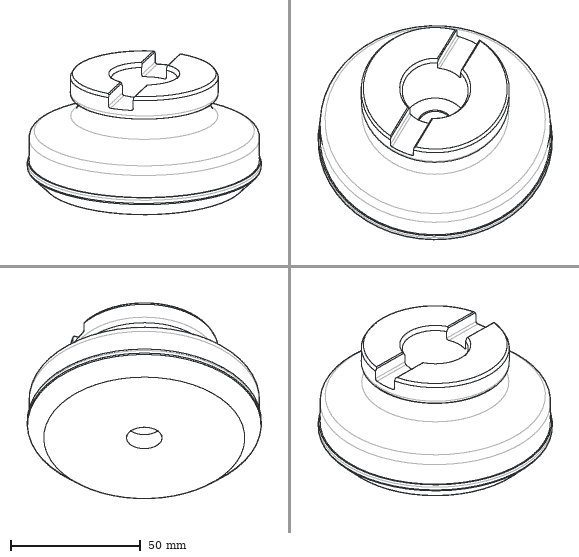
import cadquery as cq

total_height = 44.4
pad_top = 8.95
rim_top = 17.9
cone_base = 21.2
groove_bottom = 27.2
groove_middle = 31.3
groove_top = 35.1
collar_bottom = 36.8

pad_radius = 45.2
lip_chamfer_width = 0.3
lip_chamfer_height = 0.9
lip_bottom = 6.8
lip_break_width = 0.2
recess_floor = lip_bottom
taper_top = 6.2

rim_radius = 88.9 / 2
cone_base_radius = 42.5
groove_bottom_radius = 28.4
groove_top_radius = 27.3
groove_radius = 25.8
collar_radius = 57.2 / 2
round_fullness = 0.59
collar_chamfer_width = 0.8
collar_chamfer_height = 1.4

hole_radius = 13.7 / 2
hole_chamfer = 0.4
bore_radius = 25.4 / 2
bore_depth = 27.1
bore_chamfer_width = 1.0
bore_chamfer_height = 1.7

slot_width = 10.0
slot_depth = 5.5
slot_floor_fillet = 0.8
slot_edge_chamfer = 0.45


def corner_middle(corner, start, end):
    """Point on a rounded corner, part-way from the square corner to its chord."""
    chord_middle = [(a + b) / 2 for a, b in zip(start, end)]
    return tuple(c + (m - c) * round_fullness for c, m in zip(corner, chord_middle))


def make_pad():
    taper_radius = pad_radius - lip_break_width
    return (
        cq.Workplane("XZ")
        .moveTo(hole_radius, 0)
        .lineTo(taper_radius - taper_top, 0)
        .lineTo(taper_radius, taper_top)
        .lineTo(pad_radius, lip_bottom)
        .lineTo(pad_radius, pad_top - lip_chamfer_height)
        .lineTo(pad_radius - lip_chamfer_width, pad_top)
        .lineTo(rim_radius, pad_top)
        .lineTo(rim_radius, recess_floor)
        .lineTo(hole_radius, recess_floor)
        .close()
        .revolve(360, (0, 0, 0), (0, 1, 0))
    )


def make_housing_blank():
    rim_start = (rim_radius, rim_top)
    rim_end = (cone_base_radius, cone_base)
    collar_start = (groove_top_radius, groove_top)
    collar_end = (collar_radius, collar_bottom)
    bore_floor = total_height - bore_depth
    return (
        cq.Workplane("XZ")
        .moveTo(hole_radius, recess_floor)
        .lineTo(rim_radius, recess_floor)
        .lineTo(*rim_start)
        .threePointArc(corner_middle((rim_radius, cone_base), rim_start, rim_end), rim_end)
        .lineTo(groove_bottom_radius, groove_bottom)
        .threePointArc((groove_radius, groove_middle), collar_start)
        .threePointArc(corner_middle((collar_radius, groove_top), collar_start, collar_end), collar_end)
        .lineTo(collar_radius, total_height - collar_chamfer_height)
        .lineTo(collar_radius - collar_chamfer_width, total_height)
        .lineTo(bore_radius + bore_chamfer_width, total_height)
        .lineTo(bore_radius, total_height - bore_chamfer_height)
        .lineTo(bore_radius, bore_floor)
        .lineTo(hole_radius + hole_chamfer, bore_floor)
        .lineTo(hole_radius, bore_floor - hole_chamfer)
        .close()
        .revolve(360, (0, 0, 0), (0, 1, 0))
    )


def make_slot_cutter():
    """Rounded-floor channel with edges that flare out at the top face."""
    half_width = slot_width / 2
    floor = total_height - slot_depth
    flare_bottom = total_height - slot_edge_chamfer
    channel = (
        cq.Workplane("XY", origin=(0, 0, floor))
        .box(slot_width, 2 * pad_radius, slot_depth, centered=(True, True, False))
        .edges("|Y and <Z")
        .fillet(slot_floor_fillet)
    )
    flare = (
        cq.Workplane("XZ", origin=(0, pad_radius, 0))
        .moveTo(-half_width, flare_bottom)
        .lineTo(half_width, flare_bottom)
        .lineTo(half_width + slot_edge_chamfer, total_height)
        .lineTo(-half_width - slot_edge_chamfer, total_height)
        .close()
        .extrude(2 * pad_radius)
    )
    return channel.union(flare)


pad = make_pad()
housing = make_housing_blank().cut(make_slot_cutter())

result = cq.Compound.makeCompound([pad.val(), housing.val()])